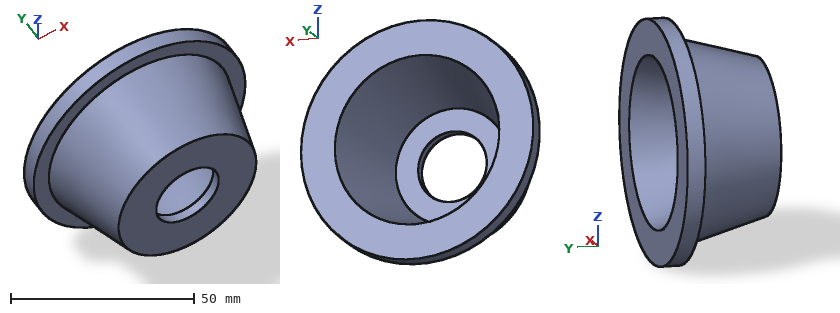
import cadquery as cq

flange_diameter = 67.8
flange_thickness = 5.0
total_length = 30.0
body_base_diameter = 58.05
body_end_diameter = 44.1

hole_diameter = 20.0
lip_thickness = 3.0
cavity_floor_diameter = 33.0
cavity_mouth_diameter = 48.0

flange_front_y = -flange_thickness
end_y = -total_length
cavity_floor_y = end_y + lip_thickness


def disc(diameter, back_y, thickness):
    """Cylinder reaching from back_y toward -Y."""
    return cq.Workplane("XZ", origin=(0, back_y, 0)).circle(diameter / 2).extrude(thickness)


def tapered(back_diameter, back_y, front_diameter, front_y):
    """Cone frustum lofted between two circles on the Y axis."""
    return (
        cq.Workplane("XZ", origin=(0, back_y, 0))
        .circle(back_diameter / 2)
        .workplane(offset=back_y - front_y)
        .circle(front_diameter / 2)
        .loft()
    )


flange = disc(flange_diameter, 0, flange_thickness)
body = tapered(body_base_diameter, flange_front_y, body_end_diameter, end_y)

cavity = tapered(cavity_mouth_diameter, 0, cavity_floor_diameter, cavity_floor_y)
hole = disc(hole_diameter, 0, total_length)

result = flange.union(body).cut(cavity).cut(hole)